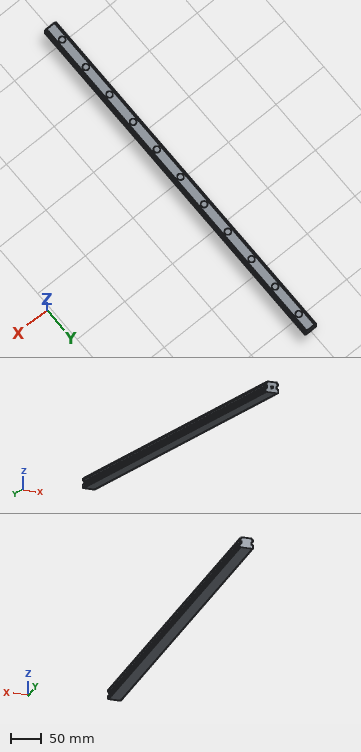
import cadquery as cq

LENGTH = 660.0
WIDTH = 23.0
HEIGHT = 18.0

TOP_FACE_WIDTH = 16.25
SHOULDER_WIDTH = 1.0
SHOULDER_DROP = 1.25
HEAD_SIDE_TOP = 15.25
HEAD_SIDE_BOTTOM = 13.5
RACE_SAGITTA = 0.75
LIP_WIDTH = 1.0
LIP_RISE = 0.5

WAIST_DEPTH = 3.0
WAIST_TOP = 10.5
WAIST_BOTTOM = 8.0

FLARE_BREAK_HEIGHT = 5.75
FLARE_BREAK_INSET = 0.5
BASE_SIDE_TOP = 4.5
BOTTOM_CHAMFER = 1.25

RECESS_COUNT = 11
RECESS_PITCH = 60.0
RECESS_DIAMETER = 11.0
RECESS_DEPTH = 0.25

END_HOLE_DIAMETER = 3.75
END_HOLE_DEPTH = 10.0
END_HOLE_HEIGHT = HEIGHT / 2


def rail_body():
    """Extrude the right half of the section along Y, then mirror it across the YZ plane."""
    half_width = WIDTH / 2
    half_waist = half_width - WAIST_DEPTH
    half_top = TOP_FACE_WIDTH / 2
    half_section = (
        cq.Workplane("XZ")
        .lineTo(half_width - BOTTOM_CHAMFER, 0)
        .lineTo(half_width, BOTTOM_CHAMFER)
        .lineTo(half_width, BASE_SIDE_TOP)
        .lineTo(half_width - FLARE_BREAK_INSET, FLARE_BREAK_HEIGHT)
        .lineTo(half_waist, WAIST_BOTTOM)
        .lineTo(half_waist, WAIST_TOP)
        .lineTo(half_waist + LIP_WIDTH, WAIST_TOP + LIP_RISE)
        .sagittaArc((half_width, HEAD_SIDE_BOTTOM), RACE_SAGITTA)
        .lineTo(half_width, HEAD_SIDE_TOP)
        .sagittaArc((half_top + SHOULDER_WIDTH, HEIGHT - SHOULDER_DROP), RACE_SAGITTA)
        .lineTo(half_top, HEIGHT)
        .lineTo(0, HEIGHT)
        .close()
    )
    right_half = half_section.extrude(LENGTH / 2, both=True)
    return right_half.union(right_half.mirror("YZ")).clean()


def top_recesses():
    """Shallow discs sunk into the top face, evenly spaced and centred along the rail."""
    first_y = -RECESS_PITCH * (RECESS_COUNT - 1) / 2
    centres = [(0, first_y + i * RECESS_PITCH) for i in range(RECESS_COUNT)]
    floor = cq.Workplane("XY").workplane(offset=HEIGHT - RECESS_DEPTH)
    return floor.pushPoints(centres).circle(RECESS_DIAMETER / 2).extrude(RECESS_DEPTH)


def end_hole():
    """Blind hole running inward along +Y from the front end face."""
    end_face = cq.Workplane("XZ", origin=(0, -LENGTH / 2, END_HOLE_HEIGHT))
    return end_face.circle(END_HOLE_DIAMETER / 2).extrude(-END_HOLE_DEPTH)


result = rail_body().cut(top_recesses()).cut(end_hole())